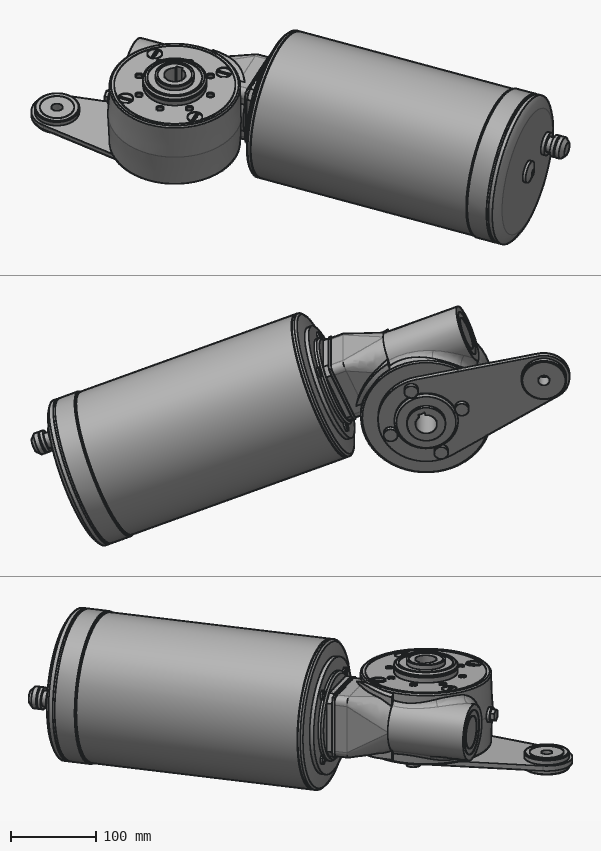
import cadquery as cq
import math


cutter_margin = 6.0

housing_mid_radius = 78.5
housing_end_radius = 76.5
housing_half_height = 44.5
housing_edge_chamfer = 2.0
cover_diameter = 142.0
cover_recess = 0.5
bore_diameter = 25.0
key_width = 8.0
key_reach = 15.0

boss_diameter = 75.0
boss_top = 56.0
boss_chamfer = 2.5
boss_groove_z = 51.0
boss_groove_width = 1.0
boss_groove_depth = 1.0
sleeve_diameter = 45.0
sleeve_top = 60.5
boss_recess_diameter = 64.0
boss_recess_depth = 1.0
sleeve_recess_diameter = 40.0
sleeve_recess_depth = 0.5

cover_screw_offset = 44.0
cover_screw_diameter = 17.5
cover_screw_recess = 1.0
slot_width = 3.0
slot_depth = 2.5
tapped_count = 8
tapped_circle_radius = 45.0
tapped_diameter = 7.0
tapped_depth = 10.0
tapped_mouth_diameter = 9.0
tapped_mouth_depth = 1.0

arm_thickness = 6.0
arm_hub_radius = 56.5
arm_reach = 149.5
arm_eye_radius = 30.0
bush_diameter = 53.0
bush_height = 19.5
bush_edge_chamfer = 1.0
bush_ring_diameter = 40.0
bush_ring_depth = 0.5
bush_hole_diameter = 13.0
arm_bolt_diameter = 16.5
arm_bolt_bottom = 56.5

plug_flange_diameter = 18.0
plug_flange_end = 82.0
plug_hex_corners = 14.5
plug_end = 87.0
plug_inner_end = 69.0

motor_y = 63.0
worm_radius = 33.0
worm_start = -78.5
flare_start = 14.5
flare_start_corner_radius = 32.5
flange_start = 63.5
flange_end = 78.5
flange_side = 76.5
flange_corner_radius = 9.5
worm_cap_diameter = 53.0
worm_cap_inner_diameter = 39.0
worm_cap_step = 0.5
worm_fillet_radius = 11.0
saddle_radius = 83.0
saddle_tube_radius = 43.5
housing_core_radius = 76.0
housing_core_half_height = 42.0
joint_reach = 100.5
joint_margin = 6.0

adapter_start = 82.0
adapter_side = 79.0
adapter_corner_chamfer = 9.5
neck_side = 74.0
spigot_start = 88.0
spigot_radius = 53.5
spigot_chamfer = 2.5
register_start = 93.5
register_radius = 70.0
register_bolt_offset = 40.0
register_bolt_diameter = 11.0
register_bolt_height = 2.5
register_bolt_socket = 7.0

motor_start = 98.5
motor_shoulder = 101.0
motor_shoulder_radius = 87.0
motor_barrel_start = 104.0
motor_radius = 89.0
cap_start = 383.0
cap_radius = 90.5
seam_depth = 0.5
barrel_seam_width = 0.5
barrel_seams = (107.0, 381.0)
cap_seam = 407.0
cap_seam_width = 2.5
cap_round_start = 415.0
cap_end = 421.0
cap_face_radius = 76.5
cap_round_bulge = 0.62

gland_y = 118.0
gland_foot_end = 425.5
gland_foot_radius = 14.0
gland_neck_radius = 9.5
gland_nut_start = 432.5
gland_nut_radius = 13.0
gland_groove_start = 437.0
gland_groove_width = 1.0
gland_groove_radius = 11.0
gland_cone_start = 443.5
gland_end = 448.5
gland_tip_radius = 8.0
end_plug_radius = 13.0
end_plug_base = 425.0
end_plug_tip_radius = 4.0
end_plug_end = 428.5


def disc(diameter, z_low, z_high, x=0.0, y=0.0):
    """Cylinder along Z between two heights."""
    return (
        cq.Workplane("XY", origin=(x, y, z_low))
        .circle(diameter / 2)
        .extrude(z_high - z_low)
    )


def rod(diameter, x_low, x_high, y=0.0, z=0.0):
    """Cylinder along X between two stations."""
    return (
        cq.Workplane("YZ", origin=(x_low, y, z))
        .circle(diameter / 2)
        .extrude(x_high - x_low)
    )


def turned(profile, y):
    """Revolve an (x, radius) profile about a line parallel to X at the given Y."""
    x_first = profile[0][0]
    x_last = profile[-1][0]
    outline = [(x_first, 0)] + profile + [(x_last, 0)]
    return (
        cq.Workplane("XY", origin=(0, y, 0))
        .polyline(outline)
        .close()
        .revolve(360, (0, 0, 0), (1, 0, 0))
    )


def ring(outer_radius, depth, x_low, width, y):
    """Annular cutter along X, sunk into a surface of the given radius."""
    outer = rod(2 * outer_radius + cutter_margin, x_low, x_low + width, y)
    inner = rod(2 * (outer_radius - depth), x_low, x_low + width, y)
    return outer.cut(inner)


def gear_housing():
    profile = [
        (0, -housing_half_height),
        (housing_end_radius - housing_edge_chamfer, -housing_half_height),
        (housing_end_radius, -housing_half_height + housing_edge_chamfer),
        (housing_mid_radius, 0),
        (housing_end_radius, housing_half_height - housing_edge_chamfer),
        (housing_end_radius - housing_edge_chamfer, housing_half_height),
        (0, housing_half_height),
    ]
    return (
        cq.Workplane("XZ").polyline(profile).close().revolve(360, (0, 0, 0), (0, 1, 0))
    )


def hub_bosses():
    boss = disc(boss_diameter, -boss_top, boss_top).faces("<Z or >Z").chamfer(boss_chamfer)
    for side in (-1, 1):
        groove_low = side * boss_groove_z - boss_groove_width / 2
        groove = disc(boss_diameter + cutter_margin, groove_low, groove_low + boss_groove_width)
        core = disc(
            boss_diameter - 2 * boss_groove_depth, groove_low, groove_low + boss_groove_width
        )
        boss = boss.cut(groove.cut(core))
    boss = boss.cut(disc(boss_recess_diameter, boss_top - boss_recess_depth, boss_top))
    sleeve = disc(sleeve_diameter, -sleeve_top, sleeve_top)
    recess = disc(sleeve_recess_diameter, sleeve_top - sleeve_recess_depth, sleeve_top)
    return boss.union(sleeve.cut(recess))


def shaft_bore():
    bore = disc(bore_diameter, -sleeve_top, sleeve_top)
    key = (
        cq.Workplane("XY")
        .box(key_width, key_reach, 2 * sleeve_top, centered=(True, False, True))
    )
    return bore.union(key)


def cover_cuts():
    """Slotted cover screws and tapped holes in the top face of the housing."""
    top = housing_half_height - cover_recess
    head_top = top - cover_screw_recess
    cuts = disc(cover_diameter, top, housing_half_height)
    for x_side in (-1, 1):
        for y_side in (-1, 1):
            x = x_side * cover_screw_offset
            y = y_side * cover_screw_offset
            slot = (cover_screw_diameter, slot_width)
            if x_side * y_side < 0:
                slot = (slot_width, cover_screw_diameter)
            cuts = cuts.union(disc(cover_screw_diameter, head_top, top, x, y))
            slot_cut = (
                cq.Workplane("XY", origin=(x, y, head_top - slot_depth))
                .rect(*slot)
                .extrude(slot_depth)
            )
            cuts = cuts.union(slot_cut)
    for index in range(tapped_count):
        angle = 2 * math.pi * index / tapped_count
        x = tapped_circle_radius * math.cos(angle)
        y = tapped_circle_radius * math.sin(angle)
        cuts = cuts.union(disc(tapped_diameter, top - tapped_depth, top, x, y))
        cuts = cuts.union(disc(tapped_mouth_diameter, top - tapped_mouth_depth, top, x, y))
    return cuts


def torque_arm():
    lean = (arm_hub_radius - arm_eye_radius) / arm_reach
    rise = math.sqrt(1 - lean**2)
    hub_tangent = (-arm_hub_radius * lean, arm_hub_radius * rise)
    eye_tangent = (-arm_reach - arm_eye_radius * lean, arm_eye_radius * rise)
    plate_top = -housing_half_height
    plate_bottom = plate_top - arm_thickness
    plate = (
        cq.Workplane("XY", origin=(0, 0, plate_bottom))
        .moveTo(*hub_tangent)
        .lineTo(*eye_tangent)
        .threePointArc((-arm_reach - arm_eye_radius, 0), (eye_tangent[0], -eye_tangent[1]))
        .lineTo(hub_tangent[0], -hub_tangent[1])
        .threePointArc((arm_hub_radius, 0), hub_tangent)
        .close()
        .extrude(arm_thickness)
    )
    bush_middle = (plate_top + plate_bottom) / 2
    bush_low = bush_middle - bush_height / 2
    bush_high = bush_middle + bush_height / 2
    bush = disc(bush_diameter, bush_low, bush_high, -arm_reach)
    bush = bush.faces("<Z or >Z").chamfer(bush_edge_chamfer)
    bush = bush.cut(
        disc(bush_ring_diameter, bush_high - bush_ring_depth, bush_high, -arm_reach)
    )
    arm = plate.union(bush)
    for x, y in ((1, 0), (0, 1), (-1, 0), (0, -1)):
        bolt = disc(
            arm_bolt_diameter,
            -arm_bolt_bottom,
            plate_top,
            x * tapped_circle_radius,
            y * tapped_circle_radius,
        )
        arm = arm.union(bolt)
    return arm.cut(disc(bush_hole_diameter, bush_low, bush_high, -arm_reach))


def level_plug():
    flange = rod(plug_flange_diameter, -plug_flange_end, -plug_inner_end)
    head = (
        cq.Workplane("YZ", origin=(-plug_end, 0, 0))
        .polygon(6, plug_hex_corners)
        .extrude(plug_end - plug_inner_end)
    )
    return flange.union(head).rotate((0, 0, 0), (1, 0, 0), 90)


def square_block(side, x_low, x_high):
    return (
        cq.Workplane("YZ", origin=(x_low, motor_y, 0))
        .rect(side, side)
        .extrude(x_high - x_low)
    )


def rounded_square(side, corner_radius):
    return cq.Sketch().rect(side, side).vertices().fillet(corner_radius)


def gear_and_worm_housing():
    """Gear housing blended into the worm tube, with the flare and motor flange."""
    core = disc(2 * housing_core_radius, -housing_core_half_height, housing_core_half_height)
    tube = rod(2 * worm_radius, -joint_reach, joint_reach, motor_y)
    joint_half_height = worm_radius + joint_margin
    joint = cq.selectors.BoxSelector(
        (-joint_reach + joint_margin, motor_y - worm_radius - joint_margin, -joint_half_height),
        (joint_reach - joint_margin, motor_y + worm_radius - joint_margin, joint_half_height),
        boundingbox=True,
    )
    body = core.union(tube).edges(joint).fillet(worm_fillet_radius)
    keep = (
        cq.Workplane("XY")
        .box(flange_end - worm_start, 4 * joint_reach, 4 * joint_reach)
        .translate(((flange_end + worm_start) / 2, 0, 0))
    )
    body = body.intersect(keep).union(gear_housing())
    for step, diameter in ((1, worm_cap_diameter), (2, worm_cap_inner_diameter)):
        body = body.cut(rod(diameter, worm_start, worm_start + step * worm_cap_step, motor_y))
    flange = square_block(flange_side, flange_start, flange_end)
    flange = flange.edges("|X").fillet(flange_corner_radius)
    flare_length = flange_start - flare_start
    flare_end = rounded_square(flange_side, flange_corner_radius)
    flare = (
        cq.Workplane("YZ", origin=(flare_start, motor_y, 0))
        .placeSketch(
            rounded_square(2 * worm_radius, flare_start_corner_radius),
            flare_end.moved(cq.Location(cq.Vector(0, 0, flare_length))),
        )
        .loft(ruled=True)
    )
    saddle = disc(2 * saddle_radius, -housing_half_height, housing_half_height)
    saddle = saddle.intersect(rod(2 * saddle_tube_radius, flare_start, flange_end, motor_y))
    return body.union(flare).union(flange).union(saddle)


def adapter():
    neck = square_block(neck_side, flange_end, adapter_start)
    plate = square_block(adapter_side, adapter_start, spigot_start)
    plate = plate.edges("|X").chamfer(adapter_corner_chamfer)
    spigot = turned(
        [
            (spigot_start, spigot_radius - spigot_chamfer),
            (spigot_start + spigot_chamfer, spigot_radius),
            (register_start, spigot_radius),
        ],
        motor_y,
    )
    body = neck.union(plate).union(spigot)
    bolt_face = register_start - register_bolt_height
    for y_side in (-1, 1):
        for z_side in (-1, 1):
            y = motor_y + y_side * register_bolt_offset
            z = z_side * register_bolt_offset
            bolt = rod(register_bolt_diameter, bolt_face, register_start, y, z)
            socket = rod(register_bolt_socket, bolt_face, register_start, y, z)
            body = body.union(bolt.cut(socket))
    return body


def motor():
    cap_round_middle = (
        cap_round_start + (cap_end - cap_round_start) * cap_round_bulge,
        cap_face_radius + (cap_radius - cap_face_radius) * cap_round_bulge,
    )
    body = (
        cq.Workplane("XY", origin=(0, motor_y, 0))
        .moveTo(register_start, 0)
        .lineTo(register_start, register_radius)
        .lineTo(motor_start, register_radius)
        .lineTo(motor_shoulder, motor_shoulder_radius)
        .lineTo(motor_barrel_start, motor_radius)
        .lineTo(cap_start, motor_radius)
        .lineTo(cap_start, cap_radius)
        .lineTo(cap_round_start, cap_radius)
        .threePointArc(cap_round_middle, (cap_end, cap_face_radius))
        .lineTo(cap_end, 0)
        .close()
        .revolve(360, (0, 0, 0), (1, 0, 0))
    )
    for seam in barrel_seams:
        body = body.cut(ring(motor_radius, seam_depth, seam, barrel_seam_width, motor_y))
    return body.cut(ring(cap_radius, seam_depth, cap_seam, cap_seam_width, motor_y))


def cable_gland():
    profile = [
        (cap_end, gland_foot_radius),
        (gland_foot_end, gland_foot_radius),
        (gland_foot_end, gland_neck_radius),
        (gland_nut_start, gland_neck_radius),
        (gland_nut_start, gland_nut_radius),
        (gland_groove_start, gland_nut_radius),
        (gland_groove_start, gland_groove_radius),
        (gland_groove_start + gland_groove_width, gland_groove_radius),
        (gland_groove_start + gland_groove_width, gland_nut_radius),
        (gland_cone_start, gland_nut_radius),
        (gland_end, gland_tip_radius),
    ]
    return turned(profile, gland_y)


def end_plug():
    profile = [
        (cap_end, end_plug_radius),
        (end_plug_base, end_plug_radius),
        (end_plug_end, end_plug_tip_radius),
    ]
    return turned(profile, motor_y)


result = (
    gear_and_worm_housing()
    .cut(cover_cuts())
    .union(hub_bosses())
    .union(torque_arm())
    .union(level_plug())
    .cut(shaft_bore())
    .union(adapter())
    .union(motor())
    .union(cable_gland())
    .union(end_plug())
)